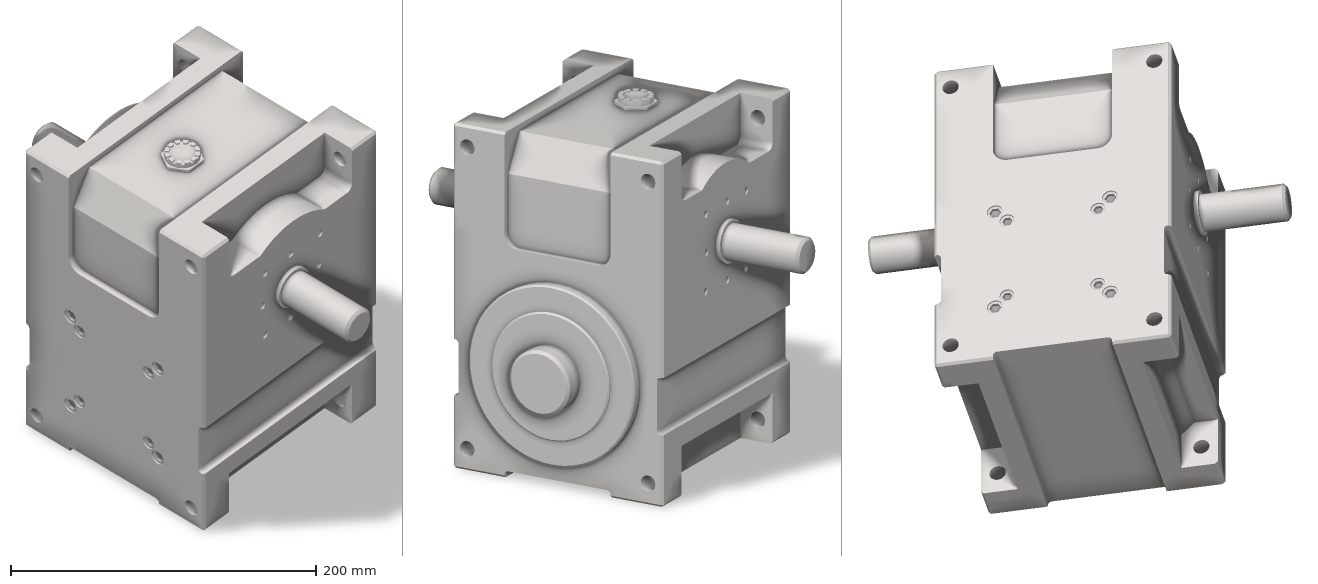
import cadquery as cq

width = 158.8
depth = 170.0
height = 240.0
front = -depth / 2
back = depth / 2
edge_chamfer = 1.7

channel_width = 80.0
channel_depth = 5.0
window_bottom = 160.0
window_radius = 10.0
channel_edge_radius = 2.8
shoulder_run = 15.0
shoulder_drop = 25.0
core_top = height - channel_depth

pocket_length = 120.0
pocket_depth = 24.5
pocket_floor = 205.0
pocket_radius = 5.0
lower_pocket_height = 35.5
lower_pocket_gusset = 8.7
arch_radius = 55.0

band_bottom = 50.0
band_top = 90.0
band_depth = 4.5
band_radius = 2.8

mount_hole_diameter = 11.0
mount_hole_x = 68.3
mount_hole_low = 15.0
mount_hole_high = height - mount_hole_low

shaft_z = 160.0
shaft_length = 280.0
shaft_diameter = 25.0
shaft_chamfer = 2.0
shaft_collar_diameter = 30.0
shaft_collar_length = 3.0
side_cover_y = 1.7
cover_hole_diameter = 5.0
cover_hole_depth = 4.2
seal_hole_radius = 27.5
cover_hole_offset = 27.0

output_z = 80.0
flange_diameter = 125.0
flange_thickness = 8.0
flange_chamfer = 1.0
ring_diameter = 89.0
ring_thickness = 2.0
hub_diameter = 45.0
hub_length = 14.8
hub_chamfer = 2.0

outer_screw_offset = 38.5
inner_screw_offset = 30.5
screw_recess_depth = 1.0
outer_head_diameter = 10.5
inner_head_diameter = 9.8
outer_socket = 7.8
inner_socket = 6.7
socket_depth = 3.5

plug_y = -18.2
plug_hex_flats = 25.2
plug_hex_corners = 28.3
plug_hex_height = 2.8
plug_cap_diameter = 23.5
plug_cap_height = 4.2
crown_inner_diameter = 17.5
crown_depth = 1.5
crown_notches = 12
crown_notch_width = 2.0


def cylinder_y(diameter, start, length, z):
    return cq.Workplane("XZ", origin=(0, start, z)).circle(diameter / 2).extrude(-length)


def front_channel():
    """Recess between the posts of the front face, with a sloped shoulder above."""
    recess_height = height - window_bottom
    recess = (
        cq.Workplane("XY")
        .box(channel_width, channel_depth, recess_height, centered=(True, False, False))
        .edges("|Y and <Z")
        .fillet(window_radius)
        .translate((0, front, window_bottom))
    )
    inner = front + channel_depth
    shoulder = (
        cq.Workplane("YZ")
        .moveTo(inner, core_top - shoulder_drop)
        .lineTo(inner + shoulder_run, core_top)
        .lineTo(inner, core_top)
        .close()
        .extrude(channel_width / 2, both=True)
    )
    return recess.union(shoulder)


def side_pockets():
    """Pockets of the +X side: an arched upper floor and a lower roof with a 45 degree gusset."""
    face = width / 2
    wall = face - pocket_depth
    upper = (
        cq.Workplane("XY")
        .box(pocket_depth, pocket_length, height - pocket_floor, centered=(False, True, False))
        .edges("|X and <Z")
        .fillet(pocket_radius)
        .translate((wall, 0, pocket_floor))
    )
    arch = (
        cq.Workplane("YZ", origin=(wall, side_cover_y, shaft_z))
        .circle(arch_radius)
        .extrude(pocket_depth)
    )
    lower = (
        cq.Workplane("XZ")
        .moveTo(wall, 0)
        .lineTo(face, 0)
        .lineTo(face, lower_pocket_height)
        .lineTo(wall + lower_pocket_gusset, lower_pocket_height)
        .lineTo(wall, lower_pocket_height - lower_pocket_gusset)
        .close()
        .extrude(pocket_length / 2, both=True)
    )
    return upper.cut(arch).union(lower)


def side_band():
    """Band cut across the +X side, filleted along its inner corners."""
    return (
        cq.Workplane("XY")
        .box(band_depth, depth, band_top - band_bottom, centered=(False, True, False))
        .edges("|Y and <X")
        .fillet(band_radius)
        .translate((width / 2 - band_depth, 0, band_bottom))
    )


def housing():
    body = cq.Workplane("XY").box(width, depth, height, centered=(True, True, False))
    body = body.edges().chamfer(edge_chamfer)

    channel = front_channel()
    body = body.cut(channel).cut(channel.mirror("XZ"))
    end_slot = cq.Workplane("XY").box(channel_width, depth, channel_depth, centered=(True, True, False))
    top_slot = end_slot.translate((0, 0, core_top))
    bottom_slot = end_slot.edges("|Y and >Z").fillet(channel_edge_radius)
    body = body.cut(top_slot).cut(bottom_slot)

    side = side_pockets().union(side_band())
    body = body.cut(side).cut(side.mirror("YZ"))

    for x in (-mount_hole_x, mount_hole_x):
        for z in (mount_hole_low, mount_hole_high):
            hole = cylinder_y(mount_hole_diameter, front, depth, z)
            body = body.cut(hole.translate((x, 0, 0)))
    return body


def input_shaft():
    shaft = (
        cq.Workplane("YZ", origin=(0, 0, shaft_z))
        .circle(shaft_diameter / 2)
        .extrude(shaft_length / 2, both=True)
        .faces("<X or >X")
        .chamfer(shaft_chamfer)
    )
    collar = (
        cq.Workplane("YZ", origin=(0, 0, shaft_z))
        .circle(shaft_collar_diameter / 2)
        .extrude(width / 2 + shaft_collar_length, both=True)
    )
    return shaft.union(collar)


def cover_holes():
    """Screw holes around the shaft on the +X side."""
    square = [
        (side_cover_y + y, z)
        for y in (-cover_hole_offset, cover_hole_offset)
        for z in (-cover_hole_offset, cover_hole_offset)
    ]
    cross = [
        (seal_hole_radius, 0),
        (-seal_hole_radius, 0),
        (0, seal_hole_radius),
        (0, -seal_hole_radius),
    ]
    return (
        cq.Workplane("YZ", origin=(width / 2 - cover_hole_depth, 0, shaft_z))
        .pushPoints(square + cross)
        .circle(cover_hole_diameter / 2)
        .extrude(cover_hole_depth)
    )


def output_hub():
    flange = cylinder_y(flange_diameter, back, flange_thickness, output_z)
    flange = flange.faces(">Y").chamfer(flange_chamfer)
    ring_start = back + flange_thickness
    ring = cylinder_y(ring_diameter, ring_start, ring_thickness, output_z)
    ring = ring.faces(">Y").chamfer(flange_chamfer)
    hub = cylinder_y(hub_diameter, ring_start + ring_thickness, hub_length, output_z)
    hub = hub.faces(">Y").chamfer(hub_chamfer)
    return flange.union(ring).union(hub)


def cover_screws(offset, head_diameter, socket_size):
    """Four head recesses in the front face, each with a hexagon socket."""
    plane = cq.Workplane("XZ", origin=(0, front, output_z))
    square = plane.rect(2 * offset, 2 * offset, forConstruction=True).vertices()
    heads = square.circle(head_diameter / 2).extrude(-screw_recess_depth)
    sockets = square.polygon(6, socket_size).extrude(-socket_depth)
    return heads.union(sockets)


def breather_plug():
    base = cq.Workplane("XY", origin=(0, plug_y, core_top))
    hexagon = base.polygon(6, plug_hex_flats, circumscribed=True).extrude(plug_hex_height)
    hexagon = hexagon.intersect(base.circle(plug_hex_corners / 2).extrude(plug_hex_height))

    cap = base.workplane(offset=plug_hex_height).circle(plug_cap_diameter / 2).extrude(plug_cap_height)
    crown_floor = base.workplane(offset=plug_hex_height + plug_cap_height - crown_depth)
    cap = cap.cut(crown_floor.circle(crown_inner_diameter / 2).extrude(crown_depth))
    pitch = 360 / crown_notches
    notches = (
        crown_floor.polarArray(plug_cap_diameter / 2, pitch / 2, 360, crown_notches)
        .rect(plug_cap_diameter / 2, crown_notch_width)
        .extrude(crown_depth)
    )
    return hexagon.union(cap.cut(notches))


holes = cover_holes()
result = (
    housing()
    .union(input_shaft())
    .cut(holes)
    .cut(holes.mirror("YZ"))
    .union(output_hub())
    .cut(cover_screws(outer_screw_offset, outer_head_diameter, outer_socket))
    .cut(cover_screws(inner_screw_offset, inner_head_diameter, inner_socket))
    .union(breather_plug())
)